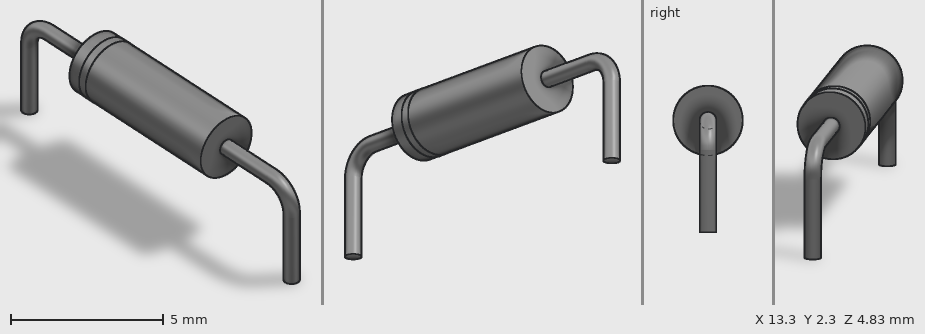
import cadquery as cq

overall_length = 13.26
overall_height = 4.83

body_diameter = 2.28
body_length = 6.36

band_diameter = 2.3
band_width = 0.32
band_offset = 0.48

wire_diameter = 0.56
bend_radius = 0.97

body_end = body_length / 2
band_start = -body_end + band_offset
lead_x = (overall_length - wire_diameter) / 2
lead_bottom = band_diameter / 2 - overall_height


def make_body():
    """Plain cylinder along X."""
    return (
        cq.Workplane("YZ", origin=(-body_end, 0, 0))
        .circle(body_diameter / 2)
        .extrude(body_length)
    )


def make_band():
    """Thin ring that wraps the body near its -X end."""
    return (
        cq.Workplane("YZ", origin=(band_start, 0, 0))
        .circle(band_diameter / 2)
        .circle(body_diameter / 2)
        .extrude(band_width)
    )


def make_lead(side):
    """Wire from one body end, bent down; side is -1 for -X and +1 for +X."""
    bend_start = lead_x - bend_radius
    arc_offset = bend_radius * 0.5**0.5
    path = (
        cq.Workplane("XZ")
        .moveTo(side * body_end, 0)
        .lineTo(side * bend_start, 0)
        .threePointArc(
            (side * (bend_start + arc_offset), arc_offset - bend_radius),
            (side * lead_x, -bend_radius),
        )
        .lineTo(side * lead_x, lead_bottom)
    )
    section = cq.Workplane("YZ", origin=(side * body_end, 0, 0)).circle(wire_diameter / 2)
    return section.sweep(path)


body = make_body()
band = make_band()
leads = [make_lead(side) for side in (-1, 1)]

result = cq.Compound.makeCompound([body.val(), band.val(), *[lead.val() for lead in leads]])